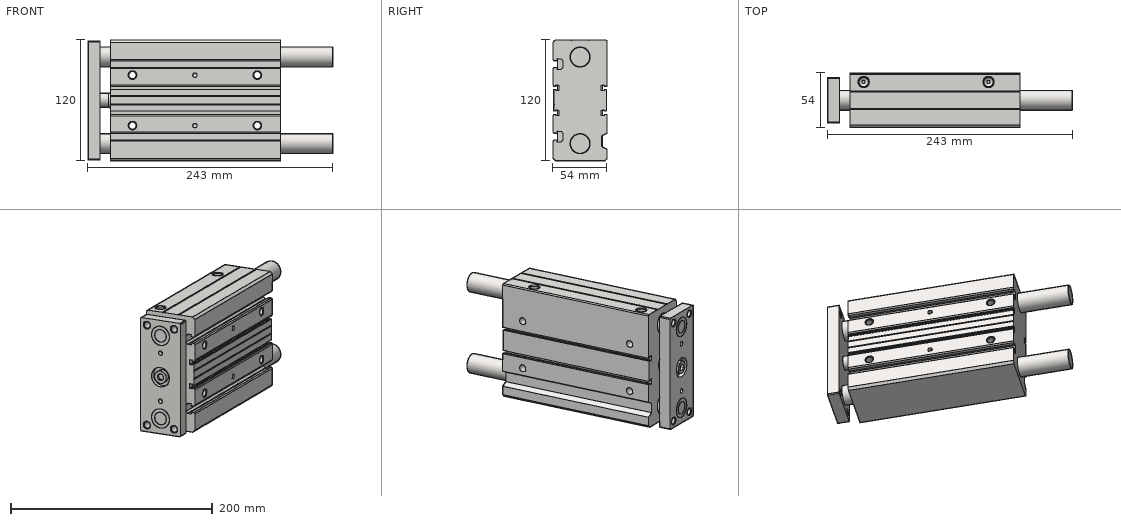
import cadquery as cq
import math


TOTAL_LENGTH = 243.0
HOUSING_START = 22.0
HOUSING_LENGTH = 169.0
HOUSING_WIDTH = 54.0
HOUSING_HEIGHT = 120.0
HOUSING_CHAMFER = 2.5
PORT_EDGE_CHAMFER = 1.2

PLATE_THICKNESS = 12.0
PLATE_WIDTH = 45.0
PLATE_HEIGHT = 118.0
PLATE_CHAMFER = 1.0

GUIDE_DIAMETER = 20.0
GUIDE_OFFSET = 43.0
GUIDE_END_CHAMFER = 0.36
PISTON_ROD_DIAMETER = 14.0
PISTON_ROD_INSERTION = 48.5
FLARE_LENGTH = 2.0
FLARE_HEIGHT = 0.7
SPIGOT_DIAMETER = 13.0
SOCKET_DIAMETER = 6.8
SOCKET_DEPTH = 2.7

RECESS_DIAMETER = 20.0
GUIDE_RECESS_DEPTH = 0.2
PISTON_RECESS_DEPTH = 4.9

HOLE_ROW_HEIGHT = 25.0
PIN_HOLE_DIAMETER = 4.4
PIN_HOLE_DEPTH = 6.0
DRILL_TIP_ANGLE = 118.0

PLATE_BOLT_Y = 15.0
PLATE_BOLT_Z = 52.0
PLATE_BOLT_DIAMETER = 6.5
PLATE_BOLT_CHAMFER = 0.7

MOUNT_HOLE_DIAMETER = 7.0
MOUNT_HOLE_CHAMFER = 0.7
MOUNT_HOLE_XS = (44.0, 168.0)
PIN_HOLE_X = sum(MOUNT_HOLE_XS) / len(MOUNT_HOLE_XS)

PORT_XS = (35.7, 159.7)
PORT_Y = 18.2
PORT_DIAMETER = 9.2
PORT_CHAMFER = 1.0
PORT_DEPTH = 11.0
PORT_PASSAGE_DIAMETER = 3.2
PORT_PASSAGE_DEPTH = 17.0

TSLOT_OFFSET = 36.0
TSLOT_NECK = 6.5
TSLOT_HEAD = 10.5
TSLOT_NECK_DEPTH = 4.1
TSLOT_DEPTH = 10.0
TSLOT_CHAMFER = 1.2
TSLOT_FLOOR_BEVEL = 2.0

SENSOR_SLOT_OFFSET = 12.5
SENSOR_SLOT_NECK = 3.2
SENSOR_SLOT_HEAD = 4.9
SENSOR_SLOT_NECK_DEPTH = 3.0
SENSOR_SLOT_DEPTH = 6.0
SENSOR_LIP_BEVEL = 1.5
CENTER_RECESS = 0.7

MARK_GROOVE_WIDTH = 1.0
MARK_GROOVE_DEPTH = 0.5
TOP_MARK_Y = 8.7
FRONT_MARK_Z = 4.1

REAR_GROOVE_Z = -40.5
REAR_GROOVE_MOUTH = 16.0
REAR_GROOVE_FLOOR = 10.0
REAR_GROOVE_DEPTH = 5.8

HALF_WIDTH = HOUSING_WIDTH / 2
HALF_HEIGHT = HOUSING_HEIGHT / 2
HOUSING_END = HOUSING_START + HOUSING_LENGTH


def rod_along_x(diameter, start, end, z=0.0):
    """Cylinder parallel to X from start to end at height z."""
    return cq.Workplane("YZ", origin=(start, 0, z)).circle(diameter / 2).extrude(end - start)


def housing_prism(points):
    """Prism over the whole housing length from a list of (y, z) points."""
    return cq.Workplane("YZ", origin=(HOUSING_START, 0, 0)).polyline(points).close().extrude(HOUSING_LENGTH)


def drilled_hole(point, direction, diameter, depth, chamfer=0):
    """Drill shape entering at point, with a chamfered mouth and a conical bottom."""
    radius = diameter / 2
    tip = radius / math.tan(math.radians(DRILL_TIP_ANGLE / 2))
    mouth = [(radius + chamfer, 0), (radius, chamfer)] if chamfer else [(radius, 0)]
    profile = [(0, 0), *mouth, (radius, depth), (0, depth + tip)]
    plane = cq.Plane(origin=point, xDir=(0, 0, 1) if direction[2] == 0 else (1, 0, 0), normal=direction)
    drill = cq.Workplane("XZ").polyline(profile).close().revolve(360, (0, 0), (0, 1))
    return cq.Workplane(drill.val().moved(cq.Location(plane)))


def piston_shaft():
    """Shaft of the piston rod, with a short taper up to its wider part inside the housing."""
    slim = PISTON_ROD_DIAMETER / 2
    wide = slim + FLARE_HEIGHT
    inner_end = HOUSING_START + PISTON_ROD_INSERTION
    profile = [
        (PLATE_THICKNESS, 0), (PLATE_THICKNESS, slim), (HOUSING_START - FLARE_LENGTH, slim),
        (HOUSING_START, wide), (inner_end, wide), (inner_end, 0),
    ]
    return cq.Workplane("XY").polyline(profile).close().revolve(360, (0, 0), (1, 0))


def housing_blank():
    """Outer section of the housing, with its four long edges chamfered."""
    y, z = HALF_WIDTH, HALF_HEIGHT
    large, small = HOUSING_CHAMFER, PORT_EDGE_CHAMFER
    return housing_prism([
        (-y + large, -z), (y - large, -z), (y, -z + large), (y, z - small),
        (y - small, z), (-y + large, z), (-y, z - large), (-y, -z + large),
    ])


def t_slot(z):
    """T-slot in the front face, with a chamfered mouth and a bevelled floor."""
    neck, head = TSLOT_NECK / 2, TSLOT_HEAD / 2
    half = [
        (0, neck + TSLOT_CHAMFER), (TSLOT_CHAMFER, neck), (TSLOT_NECK_DEPTH, neck),
        (TSLOT_NECK_DEPTH, head), (TSLOT_DEPTH - TSLOT_FLOOR_BEVEL, head),
        (TSLOT_DEPTH, head - TSLOT_FLOOR_BEVEL),
    ]
    upper = [(-HALF_WIDTH + depth, z + offset) for depth, offset in half]
    lower = [(-HALF_WIDTH + depth, z - offset) for depth, offset in reversed(half)]
    return housing_prism(upper + lower)


def sensor_slot(face, side):
    """Undercut sensor slot in the face Y = face * HALF_WIDTH, above (1) or below (-1) the centre."""
    z = side * SENSOR_SLOT_OFFSET
    neck, head = SENSOR_SLOT_NECK / 2, SENSOR_SLOT_HEAD / 2
    half = [(0, neck), (SENSOR_SLOT_NECK_DEPTH, neck), (SENSOR_SLOT_NECK_DEPTH, head), (SENSOR_SLOT_DEPTH, head)]
    upper = [(face * (HALF_WIDTH - depth), z + offset) for depth, offset in half]
    lower = [(face * (HALF_WIDTH - depth), z - offset) for depth, offset in reversed(half)]
    return housing_prism(upper + lower)


def center_band(face, bevel):
    """Shallow recess between the two sensor slots, its long sides sloping out by bevel."""
    z = SENSOR_SLOT_OFFSET + SENSOR_SLOT_NECK / 2
    outer, inner = face * HALF_WIDTH, face * (HALF_WIDTH - CENTER_RECESS)
    return housing_prism([(outer, z + bevel), (inner, z), (inner, -z), (outer, -z - bevel)])


def top_mark(y):
    """V-groove along the top face."""
    half = MARK_GROOVE_WIDTH / 2
    return housing_prism([(y - half, HALF_HEIGHT), (y, HALF_HEIGHT - MARK_GROOVE_DEPTH), (y + half, HALF_HEIGHT)])


def front_mark(z):
    """V-groove along the recessed band of the front face."""
    face = -HALF_WIDTH + CENTER_RECESS
    half = MARK_GROOVE_WIDTH / 2
    return housing_prism([(face, z - half), (face + MARK_GROOVE_DEPTH, z), (face, z + half)])


def rear_groove():
    """Wide groove with sloping sides in the rear face."""
    mouth, floor = REAR_GROOVE_MOUTH / 2, REAR_GROOVE_FLOOR / 2
    inner = HALF_WIDTH - REAR_GROOVE_DEPTH
    return housing_prism([
        (HALF_WIDTH, REAR_GROOVE_Z - mouth), (inner, REAR_GROOVE_Z - floor),
        (inner, REAR_GROOVE_Z + floor), (HALF_WIDTH, REAR_GROOVE_Z + mouth),
    ])


def mount_hole(x, z):
    """Through hole along Y with a chamfered front mouth."""
    return drilled_hole((x, -HALF_WIDTH, z), (0, 1, 0), MOUNT_HOLE_DIAMETER, HOUSING_WIDTH, MOUNT_HOLE_CHAMFER)


def cut_port(body, x):
    """Cut one air port into the top face: a chamfered bore with a narrower passage at its bottom."""
    entry = (x, PORT_Y, HALF_HEIGHT)
    body = body.cut(drilled_hole(entry, (0, 0, -1), PORT_DIAMETER, PORT_DEPTH, PORT_CHAMFER))
    top = cq.Workplane("XY", origin=entry)
    return body.cut(top.circle(PORT_PASSAGE_DIAMETER / 2).extrude(-PORT_PASSAGE_DEPTH))


def make_housing():
    body = housing_blank()
    body = body.cut(center_band(-1, SENSOR_LIP_BEVEL)).cut(center_band(1, 0)).cut(rear_groove())
    for side in (-1, 1):
        body = body.cut(t_slot(side * TSLOT_OFFSET))
        body = body.cut(sensor_slot(-1, side)).cut(sensor_slot(1, side))
        body = body.cut(top_mark(side * TOP_MARK_Y)).cut(front_mark(side * FRONT_MARK_Z))
        row = side * HOLE_ROW_HEIGHT
        for x in MOUNT_HOLE_XS:
            body = body.cut(mount_hole(x, row))
        pin_entry = (PIN_HOLE_X, -HALF_WIDTH, row)
        body = body.cut(drilled_hole(pin_entry, (0, 1, 0), PIN_HOLE_DIAMETER, PIN_HOLE_DEPTH))
        body = body.cut(rod_along_x(GUIDE_DIAMETER, HOUSING_START, HOUSING_END, side * GUIDE_OFFSET))
    for x in PORT_XS:
        body = cut_port(body, x)
    return body.cut(piston_shaft())


def make_plate():
    body = cq.Workplane("YZ").rect(PLATE_WIDTH, PLATE_HEIGHT).extrude(PLATE_THICKNESS)
    body = body.edges("|X").chamfer(PLATE_CHAMFER)
    recesses = [
        (-GUIDE_OFFSET, GUIDE_RECESS_DEPTH), (0, PISTON_RECESS_DEPTH), (GUIDE_OFFSET, GUIDE_RECESS_DEPTH),
    ]
    for z, recess_depth in recesses:
        body = body.cut(rod_along_x(SPIGOT_DIAMETER, 0, PLATE_THICKNESS, z))
        body = body.cut(rod_along_x(RECESS_DIAMETER, 0, recess_depth, z))
    for side in (-1, 1):
        pin_entry = (0, 0, side * HOLE_ROW_HEIGHT)
        body = body.cut(drilled_hole(pin_entry, (1, 0, 0), PIN_HOLE_DIAMETER, PIN_HOLE_DEPTH))
        for y in (-PLATE_BOLT_Y, PLATE_BOLT_Y):
            bolt_entry = (0, y, side * PLATE_BOLT_Z)
            body = body.cut(
                drilled_hole(bolt_entry, (1, 0, 0), PLATE_BOLT_DIAMETER, PLATE_THICKNESS, PLATE_BOLT_CHAMFER)
            )
    return body


def make_guide_rod(z):
    """Guide rod with a chamfered free end and a spigot that fills the plate hole."""
    shaft = rod_along_x(GUIDE_DIAMETER, PLATE_THICKNESS, TOTAL_LENGTH, z)
    shaft = shaft.faces(">X").chamfer(GUIDE_END_CHAMFER)
    return shaft.union(rod_along_x(SPIGOT_DIAMETER, 0, PLATE_THICKNESS, z))


def make_piston_rod():
    """Piston rod with a spigot in the plate and a blind socket in its end."""
    rod = piston_shaft().union(rod_along_x(SPIGOT_DIAMETER, 0, PLATE_THICKNESS))
    return rod.cut(rod_along_x(SOCKET_DIAMETER, 0, SOCKET_DEPTH))


housing = make_housing()
plate = make_plate()
piston_rod = make_piston_rod()
guide_rods = [make_guide_rod(side * GUIDE_OFFSET) for side in (-1, 1)]

result = cq.Compound.makeCompound([
    housing.val(), plate.val(), piston_rod.val(), *[rod.val() for rod in guide_rods],
])